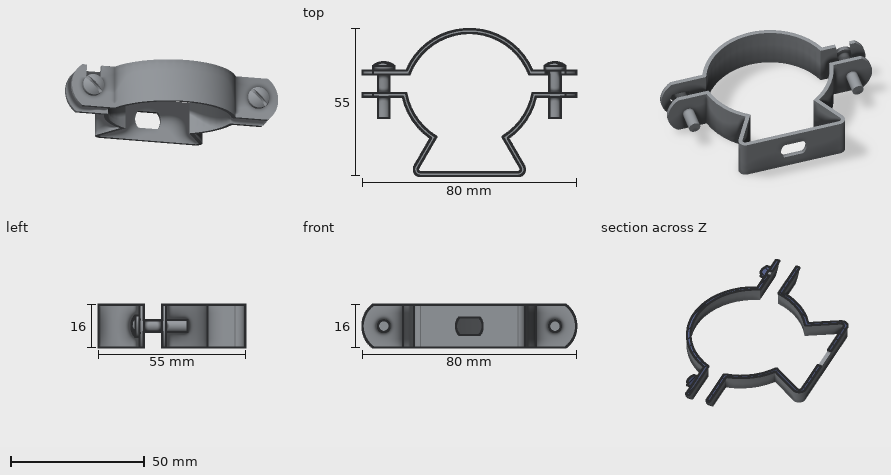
import cadquery as cq
import math

width = 16.0
thickness = 1.5
ring_radius = 24.0

ear_span = 80.0
ear_end_radius = 10.0
upper_ear_y = 2.7
lower_ear_y = -4.2

overall_depth = 55.0
base_y = -35.3
upper_ring_y = base_y + overall_depth - ring_radius - thickness

foot_half_width = 20.0
foot_top_y = -16.0
foot_side_angle = 60.0
foot_bend_radius = 1.0
foot_slot_length = 10.0
foot_slot_height = 6.6

screw_spacing = 64.0
shank_diameter = 4.4
shank_end_y = -13.6
head_diameter = 8.0
head_rim_height = 1.6
dome_height = 1.5
driver_slot_width = 1.3
driver_slot_depth = dome_height
driver_slot_angle = 45.0
neck_fillet = 0.3

hinge_slot_shift = 0.5
hinge_slot_length = 8.0
hinge_slot_height = 5.0
swing_slot_width = 5.6
swing_slot_tilt = 5.0


def slab(x_size, y_low, y_high):
    """Box over the strap width, centred on X, between two Y levels."""
    box = cq.Workplane("XY").box(x_size, y_high - y_low, width)
    return box.translate((0, (y_low + y_high) / 2, 0))


def disc(radius, center_y):
    """Round plug over the strap width."""
    return cq.Workplane("XY").center(0, center_y).circle(radius).extrude(width / 2, both=True)


def foot_plug(offset):
    """Dovetail plug, grown outward by offset from the inside of the foot."""
    angle = math.radians(foot_side_angle)
    bottom_y = base_y + thickness - offset
    bottom_half = foot_half_width + offset / math.tan(angle / 2)
    top_half = bottom_half - (foot_top_y - bottom_y) / math.tan(angle)
    outline = [
        (-bottom_half, bottom_y),
        (bottom_half, bottom_y),
        (top_half, foot_top_y),
        (-top_half, foot_top_y),
    ]
    plug = cq.Workplane("XY").polyline(outline).close().extrude(width / 2, both=True)
    return plug.edges("|Z").edges("<Y").fillet(foot_bend_radius + offset)


def ear_strip(y_low):
    """Full-span strip with rounded ends that forms a pair of ears."""
    strip = slab(ear_span, y_low, y_low + thickness)
    end_center = ear_span / 2 - ear_end_radius
    ends = (
        cq.Workplane("XZ", origin=(0, y_low, 0))
        .pushPoints([(-end_center, 0), (end_center, 0)])
        .circle(ear_end_radius)
        .extrude(-thickness)
    )
    middle = slab(2 * end_center, y_low, y_low + thickness)
    return strip.intersect(ends.union(middle))


def flat_sided_hole(x, y_low, length, height):
    """Round cutter of the given length, flattened above and below."""
    round_part = (
        cq.Workplane("XZ", origin=(x, y_low, 0))
        .circle(length / 2)
        .extrude(-thickness)
    )
    return round_part.intersect(cq.Workplane("XY").box(2 * ear_span, 2 * ear_span, height))


def swing_slot():
    """Round-bottomed cutter, open at the upper edge and tilted toward the hinge side."""
    slot_radius = swing_slot_width / 2
    slot = (
        cq.Workplane("XZ", origin=(0, upper_ear_y, 0))
        .moveTo(-slot_radius, width)
        .lineTo(-slot_radius, 0)
        .threePointArc((0, -slot_radius), (slot_radius, 0))
        .lineTo(slot_radius, width)
        .close()
        .extrude(-thickness)
    )
    slot = slot.rotate((0, 0, 0), (0, 1, 0), -swing_slot_tilt)
    return slot.translate((screw_spacing / 2, 0, 0))


def make_upper_clamp():
    """Plain arch with a hinge hole in one ear and an open slot in the other."""
    top_y = upper_ring_y + ring_radius + thickness
    arch = disc(ring_radius + thickness, upper_ring_y)
    arch = arch.intersect(slab(ear_span, upper_ear_y, top_y))
    clamp = arch.union(ear_strip(upper_ear_y)).cut(disc(ring_radius, upper_ring_y))
    hinge_hole = flat_sided_hole(
        -screw_spacing / 2 - hinge_slot_shift, upper_ear_y, hinge_slot_length, hinge_slot_height
    )
    return clamp.cut(hinge_hole).cut(swing_slot())


def make_lower_clamp():
    """Partial ring that opens into a dovetail foot, with a hole in its base."""
    outside = disc(ring_radius + thickness, 0).union(foot_plug(thickness))
    outside = outside.intersect(slab(ear_span, base_y, lower_ear_y))
    ears = ear_strip(lower_ear_y - thickness)
    clamp = outside.union(ears).cut(disc(ring_radius, 0)).cut(foot_plug(0))
    screw_holes = (
        cq.Workplane("XZ", origin=(0, lower_ear_y - thickness, 0))
        .pushPoints([(-screw_spacing / 2, 0), (screw_spacing / 2, 0)])
        .circle(shank_diameter / 2)
        .extrude(-thickness)
    )
    base_hole = flat_sided_hole(0, base_y, foot_slot_length, foot_slot_height)
    return clamp.cut(screw_holes).cut(base_hole)


def make_screw(x):
    """Dome-headed screw along Y, seated on the upper ear."""
    seat_y = upper_ear_y + thickness
    rim_y = seat_y + head_rim_height
    crown_y = rim_y + dome_height
    head_radius = head_diameter / 2
    shank_radius = shank_diameter / 2
    dome_radius = (head_radius**2 + dome_height**2) / (2 * dome_height)
    dome_half_angle = math.asin(head_radius / dome_radius) / 2
    dome_mid = (
        dome_radius * math.sin(dome_half_angle),
        crown_y - dome_radius * (1 - math.cos(dome_half_angle)),
    )
    screw = (
        cq.Workplane("XY")
        .moveTo(0, shank_end_y)
        .lineTo(shank_radius, shank_end_y)
        .lineTo(shank_radius, seat_y - neck_fillet)
        .radiusArc((shank_radius + neck_fillet, seat_y), neck_fillet)
        .lineTo(head_radius, seat_y)
        .lineTo(head_radius, rim_y)
        .threePointArc(dome_mid, (0, crown_y))
        .close()
        .revolve(360, (0, 0, 0), (0, 1, 0))
    )
    driver_slot = (
        cq.Workplane("XY")
        .box(2 * head_diameter, driver_slot_depth, driver_slot_width)
        .translate((0, crown_y - driver_slot_depth / 2, 0))
        .rotate((0, 0, 0), (0, 1, 0), -driver_slot_angle)
    )
    return screw.cut(driver_slot).translate((x, 0, 0))


upper_clamp = make_upper_clamp()
lower_clamp = make_lower_clamp()
screws = []
for side in (-1, 1):
    screws.append(make_screw(side * screw_spacing / 2).val())

result = cq.Compound.makeCompound([upper_clamp.val(), lower_clamp.val(), *screws])